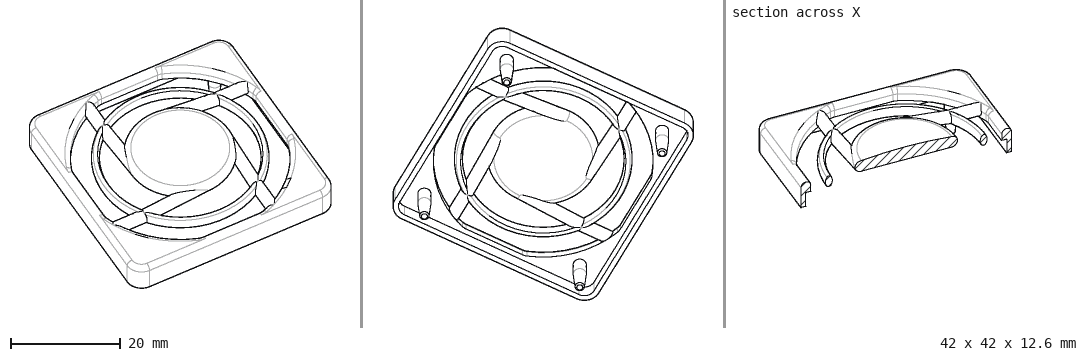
import cadquery as cq
import math

side = 42.0
frame_height = 5.6
corner_radius = 3.0
rim_fillet = 1.0
shell_wall = 1.0
plate_thickness = 2.5
opening_radius = 20.0
opening_side = side - 4 * rim_fillet
opening_corner_radius = 2.5

bar_radius = plate_thickness / 2
bar_level = frame_height - bar_radius
bar_offset = 9.0
bar_end = 19.3

ring_radius = 15.45
ring_width = 1.5
ring_crest_radius = 0.5

hub_top = 7.6
hub_dome_rise = 0.5
hub_rim_level = hub_top - hub_dome_rise - bar_radius

peg_spacing = 32.0
peg_drop = 5.0
peg_boss_drop = 0.3
peg_root_radius = 1.2
peg_tip_radius = 0.85
peg_tip_chamfer = 0.3


def make_frame():
    """Rounded square cap with thin skirts and a rounded opening through its top plate."""
    plate_underside = frame_height - plate_thickness
    cap = cq.Workplane("XY").rect(side, side).extrude(frame_height)
    cap = cap.edges("|Z").fillet(corner_radius)
    cap = cap.faces(">Z").edges().fillet(rim_fillet)
    cavity_side = side - 2 * shell_wall
    cavity = cq.Workplane("XY").rect(cavity_side, cavity_side).extrude(plate_underside)
    cavity = cavity.edges("|Z").fillet(corner_radius - shell_wall)
    return cap.cut(cavity).intersect(make_opened_blank())


def make_opened_blank():
    """Oversize blank holding the opening: a circle clipped by four sides, with a rounded top edge."""
    opening = cq.Workplane("XY").circle(opening_radius).extrude(frame_height)
    limits = cq.Workplane("XY").rect(opening_side, opening_side).extrude(frame_height)
    opening = opening.intersect(limits)
    opening = opening.edges("|Z").fillet(opening_corner_radius)
    blank = cq.Workplane("XY").rect(2 * side, 2 * side).extrude(frame_height).cut(opening)
    nearest_edge = cq.selectors.NearestToPointSelector((0, opening_side / 2, frame_height))
    return blank.edges(nearest_edge).fillet(rim_fillet)


def make_bar():
    """Round bar, level from the frame to the ring and climbing from there to the hub rim."""
    bend = math.sqrt(ring_radius**2 - bar_offset**2)
    path = cq.Workplane("XZ", origin=(0, bar_offset, 0)).moveTo(bar_end, bar_level)
    path = path.lineTo(bend, bar_level).lineTo(0, hub_rim_level)
    section = cq.Workplane("YZ", origin=(bar_end, bar_offset, bar_level)).circle(bar_radius)
    return section.sweep(path, transition="right")


def make_ring():
    """Ring of oval section: small arcs at the crest and underside, large arcs at the sides."""
    half_width = ring_width / 2
    half_height = plate_thickness / 2
    crest_drop = half_height - ring_crest_radius
    flank_radius = (half_width**2 + crest_drop**2 - ring_crest_radius**2) / 2
    flank_radius /= half_width - ring_crest_radius
    flank_center = flank_radius - half_width
    reach = ring_crest_radius / (flank_radius - ring_crest_radius)
    joint_x = flank_center * reach
    joint_z = crest_drop * (1 + reach)
    return (
        cq.Workplane("XZ", origin=(0, 0, bar_level))
        .center(ring_radius, 0)
        .moveTo(-joint_x, joint_z)
        .threePointArc((0, half_height), (joint_x, joint_z))
        .threePointArc((half_width, 0), (joint_x, -joint_z))
        .threePointArc((0, -half_height), (-joint_x, -joint_z))
        .threePointArc((-half_width, 0), (-joint_x, joint_z))
        .close()
        .revolve(360, (-ring_radius, 0), (-ring_radius, 1))
    )


def make_hub():
    rim_bottom = hub_rim_level - bar_radius
    rim_top = hub_rim_level + bar_radius
    dome_radius = (bar_offset**2 + hub_dome_rise**2) / (2 * hub_dome_rise)
    return (
        cq.Workplane("XZ")
        .moveTo(0, rim_bottom)
        .lineTo(bar_offset, rim_bottom)
        .threePointArc((bar_offset + bar_radius, hub_rim_level), (bar_offset, rim_top))
        .radiusArc((0, hub_top), -dome_radius)
        .close()
        .revolve(360, (0, 0), (0, 1))
    )


def make_peg():
    """Boss hanging from the plate, then a tapered pin with a chamfered tip."""
    return (
        cq.Workplane("XZ")
        .moveTo(0, bar_level)
        .lineTo(peg_root_radius, bar_level)
        .lineTo(peg_root_radius, -peg_boss_drop)
        .lineTo(peg_tip_radius, peg_tip_chamfer - peg_drop)
        .lineTo(peg_tip_radius - peg_tip_chamfer, -peg_drop)
        .lineTo(0, -peg_drop)
        .close()
        .revolve(360, (0, 0), (0, 1))
    )


result = make_frame().union(make_ring())
for quarter in range(4):
    result = result.union(make_bar().rotate((0, 0, 0), (0, 0, 1), 90 * quarter))
result = result.union(make_hub())
for peg_x in (-peg_spacing / 2, peg_spacing / 2):
    for peg_y in (-peg_spacing / 2, peg_spacing / 2):
        result = result.union(make_peg().translate((peg_x, peg_y, 0)))